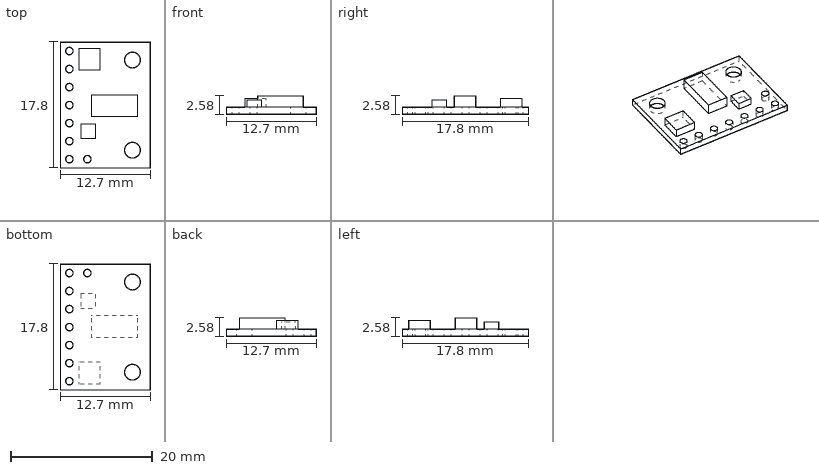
import cadquery as cq

board_length = 17.78
pitch = board_length / 7
board_width = 5 * pitch
board_thickness = 1.0

pin_count = 7
pin_diameter = 1.01
pin_edge_distance = pitch / 2
mount_diameter = 2.19
mount_x = 4 * pitch
mount_edge_distance = pitch

main_chip = (4.41, 7.29, 6.45, 3.05, 1.58)
square_chip = (2.6, 13.82, 3.02, 3.05, 1.23)
small_chip = (2.93, 4.16, 2.03, 2.08, 1.03)


def make_board():
    """Flat board with one corner at the origin."""
    return cq.Workplane("XY").box(board_width, board_length, board_thickness, centered=False)


def make_holes(points, diameter):
    """Cutters that pass through the board at the given points."""
    return cq.Workplane("XY").pushPoints(points).circle(diameter / 2).extrude(board_thickness)


def make_chip(left, front, width, depth, height):
    """Rectangular component rising from the underside of the board, so it fuses fully."""
    block = cq.Workplane("XY").box(width, depth, board_thickness + height, centered=False)
    return block.translate((left, front, 0))


pin_points = [(pin_edge_distance, pin_edge_distance + i * pitch) for i in range(pin_count)]
pin_points.append((pin_edge_distance + pitch, pin_edge_distance))

mount_points = [
    (mount_x, mount_edge_distance),
    (mount_x, board_length - mount_edge_distance),
]

result = make_board()
for chip in (main_chip, square_chip, small_chip):
    result = result.union(make_chip(*chip))
result = result.cut(make_holes(pin_points, pin_diameter))
result = result.cut(make_holes(mount_points, mount_diameter))